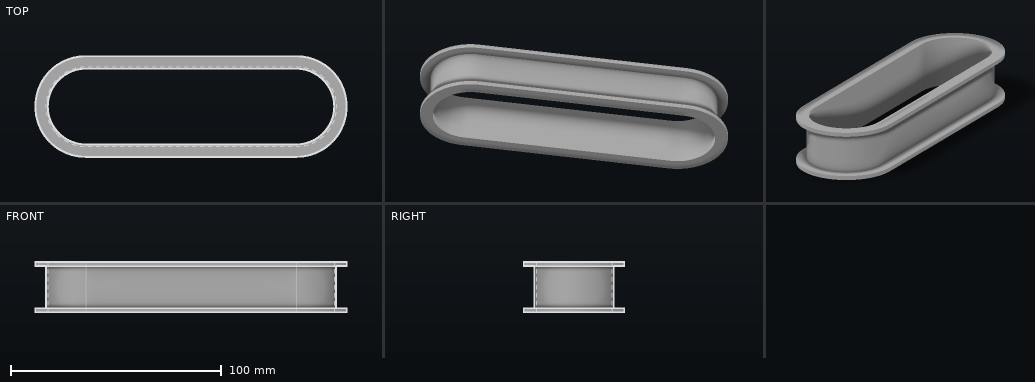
import cadquery as cq

length = 148.0
width = 48.0
height = 24.0

wall_height = 20.0
wall_thickness = 1.0
flange_overhang = 5.0

straight_length = length - width
wall_width = width - 2 * flange_overhang
opening_width = wall_width - 2 * wall_thickness
flange_thickness = (height - wall_height) / 2


def stadium(outline_width, depth, base_z):
    """Round-ended block; every outline shares the same end-arc centres."""
    return (
        cq.Workplane("XY")
        .workplane(offset=base_z)
        .slot2D(straight_length + outline_width, outline_width)
        .extrude(depth)
    )


def stadium_ring(outer_width, depth, base_z):
    """Round-ended ring around the common opening."""
    opening = stadium(opening_width, depth, base_z)
    return stadium(outer_width, depth, base_z).cut(opening)


def make_flange(base_z):
    return stadium_ring(width, flange_thickness, base_z)


def make_wall():
    return stadium_ring(wall_width, wall_height, -wall_height / 2)


wall = make_wall()

flange_bases = (-height / 2, wall_height / 2)
flanges = [make_flange(base_z) for base_z in flange_bases]

result = cq.Compound.makeCompound([wall.val(), *[flange.val() for flange in flanges]])